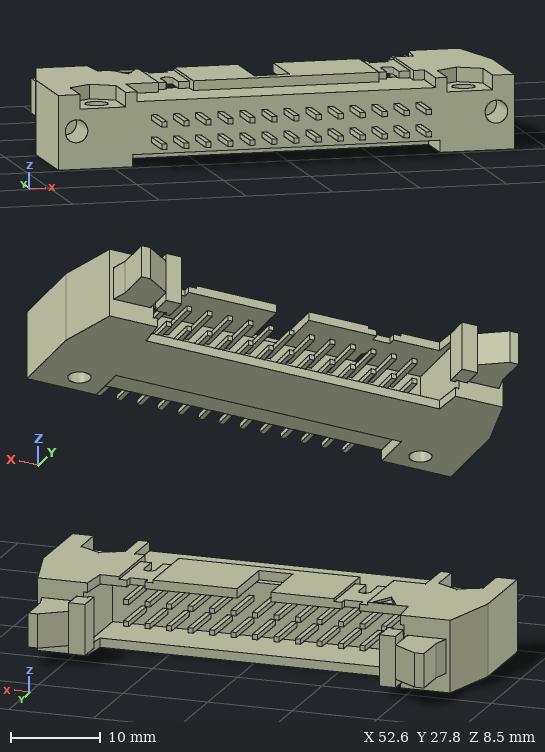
import cadquery as cq


length = 52.6
height = 8.5
half_length = length / 2
mid_z = height / 2
mouth_y = 13.8
ear_top_y = 17.25
ear_bevel_start_y = 10.0
ear_outer_top_x = 24.4
ear_inner_top_x = 18.5
ear_inner_root_x = 18.2

wall = 1.1
cavity_half_length = 18.95
cavity_floor_y = 7.43

top_band_half_length = 17.2
bottom_band_half_length = 17.7
band_width = 5.05
bottom_band_depth = 1.4

pin_count = 13
pitch = 2.54
pin_size = 0.6
pin_tail = 4.5
pin_tip_y = 13.5

hole_diameter = 2.6
mount_x = 21.15
mount_y = 2.85
nut_width = 5.25
nut_depth = 1.65
end_hole_x = 24.2
end_hole_z = 4.35
end_hole_depth = 5.0

key_width = 4.0
key_end_y = 6.45

left_groove_x = -4.5 * pitch
right_groove_x = 5.5 * pitch
groove_width = 4.0
groove_depth = 0.32
groove_step_y = 6.63
relief_width = 1.4
relief_end_y = 9.7
notch_width = 2.1
notch_depth = 0.95

mark_x = -15.3
mark_base_y = 13.45
mark_half_width = 1.3
mark_length = 2.35
mark_depth = 0.3

latch_height = 4.0
latch_tip_y = 23.3
latch_kink_y = 19.15
latch_outer_x = 23.4
latch_outer_root_x = 23.9
latch_tip_inner_x = 22.3
latch_inner_x = 19.33
hook_height = 6.0
hook_tip_x = 17.4
hook_top_y = 21.2
hook_bottom_y = 18.55
hook_lip_y = 18.2
hook_lip_width = 0.6


def box(x_min, x_max, y_min, y_max, z_min, z_max):
    size = (x_max - x_min, y_max - y_min, z_max - z_min)
    return cq.Workplane("XY").box(*size, centered=False).translate((x_min, y_min, z_min))


def prism(points, z_min, z_max):
    return cq.Workplane("XY").workplane(offset=z_min).polyline(points).close().extrude(z_max - z_min)


def housing():
    right_side = [
        (half_length, 0),
        (half_length, ear_bevel_start_y),
        (ear_outer_top_x, ear_top_y),
        (ear_inner_top_x, ear_top_y),
        (ear_inner_root_x, mouth_y),
    ]
    left_side = [(-x, y) for x, y in reversed(right_side)]
    return prism(right_side + left_side, 0, height)


def cavity():
    return box(-cavity_half_length, cavity_half_length, cavity_floor_y, ear_top_y, wall, height - wall)


def bands():
    top = box(-top_band_half_length, top_band_half_length, 0, band_width, height - wall, height)
    bottom = box(-bottom_band_half_length, bottom_band_half_length, 0, band_width, 0, bottom_band_depth)
    return top.union(bottom)


def key_slot():
    return box(-key_width / 2, key_width / 2, key_end_y, mouth_y, height - wall, height)


def groove(x):
    """Shallow groove, full-depth step at its inner end, rounded relief slot and mouth notch."""
    half_width = groove_width / 2
    wall_bottom = height - wall
    relief_arc_y = relief_end_y - relief_width / 2
    shallow = box(x - half_width, x + half_width, band_width, mouth_y, height - groove_depth, height)
    step = box(x - half_width, x + half_width, band_width, groove_step_y, wall_bottom, height)
    relief = box(x - relief_width / 2, x + relief_width / 2, groove_step_y, relief_arc_y, wall_bottom, height)
    relief_end = (
        cq.Workplane("XY")
        .workplane(offset=wall_bottom)
        .center(x, relief_arc_y)
        .circle(relief_width / 2)
        .extrude(wall)
    )
    notch = box(x - notch_width / 2, x + notch_width / 2, mouth_y - notch_depth, mouth_y, wall_bottom, height)
    return shallow.union(step).union(relief).union(relief_end).union(notch)


def mounting_cut(side):
    """Vertical screw hole under a nut pocket that opens toward -Y, plus a blind hole from -Y."""
    x = side * mount_x
    half_width = nut_width / 2
    apex_height = nut_width / 3**0.5
    shoulder_y = mount_y + apex_height / 2
    pocket_outline = [
        (x - half_width, 0),
        (x + half_width, 0),
        (x + half_width, shoulder_y),
        (x, mount_y + apex_height),
        (x - half_width, shoulder_y),
    ]
    pocket = prism(pocket_outline, height - nut_depth, height)
    screw_hole = cq.Workplane("XY").center(x, mount_y).circle(hole_diameter / 2).extrude(height)
    end_hole = (
        cq.Workplane("XZ")
        .center(side * end_hole_x, end_hole_z)
        .circle(hole_diameter / 2)
        .extrude(-end_hole_depth)
    )
    return pocket.union(screw_hole).union(end_hole)


def pin_one_mark():
    outline = [
        (mark_x - mark_half_width, mark_base_y),
        (mark_x + mark_half_width, mark_base_y),
        (mark_x, mark_base_y - mark_length),
    ]
    return prism(outline, height - mark_depth, height)


def latch(side):
    """Lever standing on the ear, with a wider hook that reaches inward over the mouth."""
    lever_outline = [
        (latch_inner_x, ear_top_y),
        (latch_outer_root_x, ear_top_y),
        (latch_outer_x, latch_kink_y),
        (latch_outer_x, latch_tip_y),
        (latch_tip_inner_x, latch_tip_y),
        (latch_inner_x, hook_top_y),
    ]
    hook_outline = [
        (latch_inner_x, hook_top_y),
        (latch_inner_x, hook_bottom_y),
        (hook_tip_x + hook_lip_width, hook_bottom_y),
        (hook_tip_x + hook_lip_width, hook_lip_y),
        (hook_tip_x, hook_lip_y),
        (hook_tip_x, hook_top_y),
    ]
    lever_points = [(side * x, y) for x, y in lever_outline]
    hook_points = [(side * x, y) for x, y in hook_outline]
    lever = prism(lever_points, mid_z - latch_height / 2, mid_z + latch_height / 2)
    hook = prism(hook_points, mid_z - hook_height / 2, mid_z + hook_height / 2)
    return lever.union(hook)


def pin(column, row):
    x = (column - (pin_count - 1) / 2) * pitch
    z = mid_z + (row - 0.5) * pitch
    half = pin_size / 2
    return box(x - half, x + half, -pin_tail, pin_tip_y, z - half, z + half)


result = housing().cut(cavity()).cut(bands()).cut(key_slot()).cut(pin_one_mark())
result = result.cut(groove(left_groove_x)).cut(groove(right_groove_x))
for side in (-1, 1):
    result = result.cut(mounting_cut(side)).union(latch(side))
for column in range(pin_count):
    for row in range(2):
        result = result.union(pin(column, row))